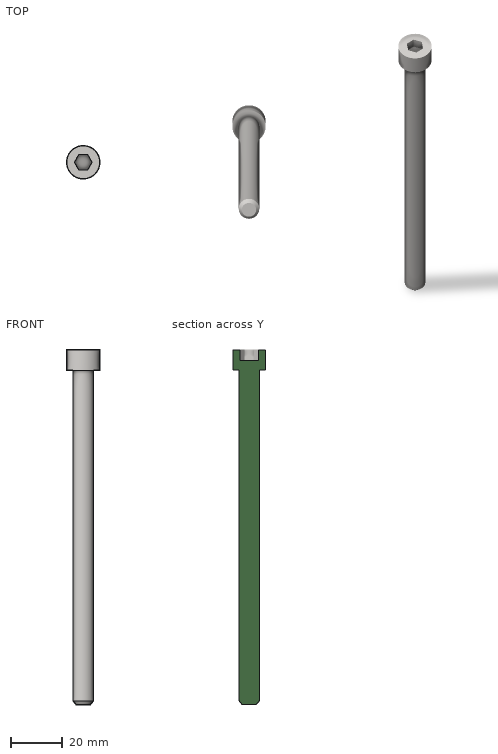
import cadquery as cq
import math

total_length = 138.0
head_diameter = 13.0
shank_diameter = 8.0
head_height = shank_diameter
socket_across_flats = 6.0
socket_depth = head_height / 2
tip_chamfer_height = 1.5
tip_chamfer_width = 1.2

shank_length = total_length - head_height
socket_across_corners = socket_across_flats / math.cos(math.radians(30))


def make_shank():
    """Round shank with its lower end chamfered, underside of the head at Z = 0."""
    shank = cq.Workplane("XY").circle(shank_diameter / 2).extrude(-shank_length)
    return shank.faces("<Z").chamfer(tip_chamfer_height, tip_chamfer_width)


def make_head():
    """Plain cylindrical head."""
    return cq.Workplane("XY").circle(head_diameter / 2).extrude(head_height)


def make_socket():
    """Hexagonal recess in the top of the head, with two corners along X."""
    top = cq.Workplane("XY").workplane(offset=head_height)
    return top.polygon(6, socket_across_corners).extrude(-socket_depth)


result = make_shank().union(make_head()).cut(make_socket())